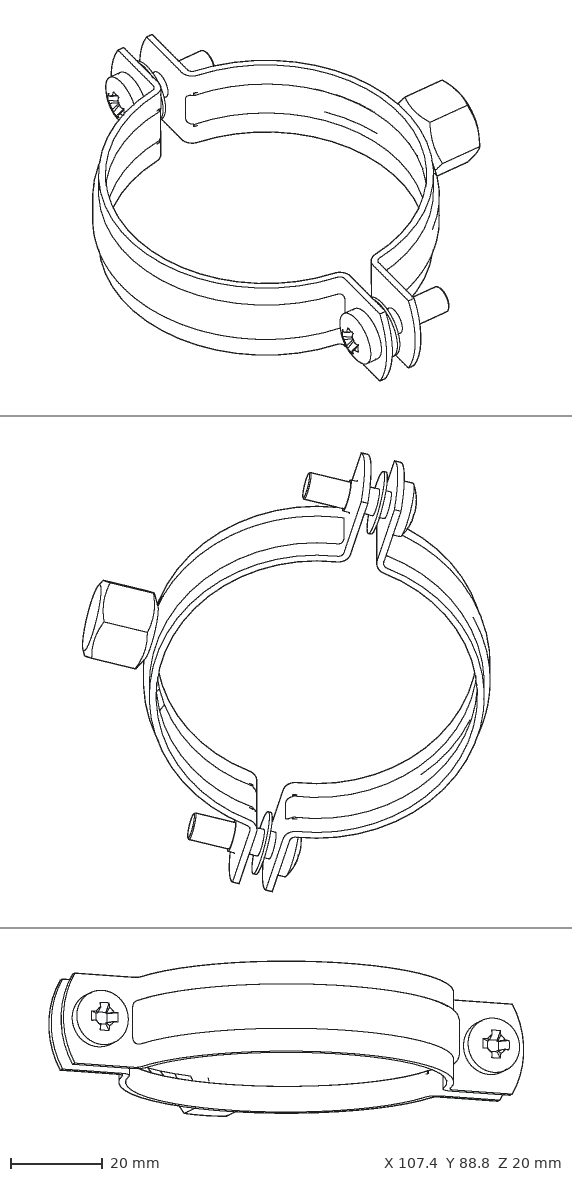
import cadquery as cq
import math


pipe_radius = 35.0
band_thickness = 1.5
band_width = 20.0
ear_gap = 6.0
overall_length = 107.4
overall_depth = 88.8
bend_inside_radius = 1.3
band_radius = pipe_radius + band_thickness
bend_outside_radius = bend_inside_radius + band_thickness
ear_inner_y = ear_gap / 2
ear_outer_y = ear_inner_y + band_thickness
ear_end_radius = band_width

bead_height = 1.3
bead_crown_half_width = 3.4
bead_edge_radius = 1.5
groove_floor_half_width = 3.0
groove_edge_radius = 1.3
bead_radius = band_radius + bead_height
groove_radius = pipe_radius + groove_edge_radius

screw_x = 45.6
screw_diameter = 6.0
screw_length = 20.0
tip_chamfer = 0.27
head_diameter = 12.0
head_side_height = 2.8
head_height = 4.6
washer_diameter = 14.0
washer_thickness = 0.6
washer_y = -0.6
collar_diameter = 7.0
collar_height = 1.7
collar_fillet = 0.5

recess_depth = 2.5
recess_arm_width = 2.0
recess_span = 7.0
recess_core_diameter = 4.7
recess_floor_diameter = 2.6

nut_across_flats = 17.0
nut_seat_diameter = 12.4
nut_face_diameter = 14.8
nut_chamfer_angle = math.radians(30)
nut_embed = 0.1
nut_top_y = overall_depth - bead_radius
nut_seat_y = bead_radius - nut_embed


def polar(radius, angle, center=(0, 0)):
    return center[0] + radius * math.cos(angle), center[1] + radius * math.sin(angle)


def revolve_about_y(profile):
    """Revolve an (X, Y) half profile about the Y axis."""
    return profile.close().revolve(360, (0, 0), (0, 1))


def band_strip():
    """Rear half of the band with both ears, before the bead is pressed."""
    bend_y = ear_outer_y + bend_inside_radius
    bend_x = math.sqrt((band_radius + bend_inside_radius) ** 2 - bend_y**2)
    bend = (bend_x, bend_y)
    end_angle = math.atan2(bend_y, bend_x)
    band_middle_angle = (end_angle + math.pi / 2) / 2
    bend_end_angle = end_angle - math.pi
    bend_middle_angle = (bend_end_angle - math.pi / 2) / 2
    right_side = (
        cq.Workplane("XY")
        .moveTo(0, pipe_radius)
        .threePointArc(polar(pipe_radius, band_middle_angle), polar(pipe_radius, end_angle))
        .threePointArc(polar(bend_outside_radius, bend_middle_angle, bend), (bend_x, ear_inner_y))
        .lineTo(overall_length / 2, ear_inner_y)
        .lineTo(overall_length / 2, ear_outer_y)
        .lineTo(bend_x, ear_outer_y)
        .threePointArc(polar(bend_inside_radius, bend_middle_angle, bend), polar(band_radius, end_angle))
        .threePointArc(polar(band_radius, band_middle_angle), (0, band_radius))
        .close()
        .extrude(band_width / 2, both=True)
    )
    return right_side.union(right_side.mirror("YZ")).intersect(ear_outline())


def ear_outline():
    """Block with rounded ends that trims the ears."""
    tip_x = overall_length / 2
    corner_z = band_width / 2
    corner_x = tip_x - ear_end_radius + math.sqrt(ear_end_radius**2 - corner_z**2)
    return (
        cq.Workplane("XZ")
        .moveTo(-corner_x, -corner_z)
        .lineTo(corner_x, -corner_z)
        .threePointArc((tip_x, 0), (corner_x, corner_z))
        .lineTo(-corner_x, corner_z)
        .threePointArc((-tip_x, 0), (-corner_x, -corner_z))
        .close()
        .extrude(overall_length, both=True)
    )


def rounded_disc(radius, half_width, edge_radius):
    """Disc on the pipe axis whose crown edges are rounded outside half_width."""
    core_radius = radius - edge_radius
    edge_z = half_width + edge_radius
    diagonal = edge_radius * math.sqrt(0.5)
    return (
        cq.Workplane("XZ")
        .moveTo(0, -edge_z)
        .lineTo(core_radius, -edge_z)
        .threePointArc((core_radius + diagonal, -half_width - diagonal), (radius, -half_width))
        .lineTo(radius, half_width)
        .threePointArc((core_radius + diagonal, half_width + diagonal), (core_radius, edge_z))
        .lineTo(0, edge_z)
        .close()
        .revolve(360, (0, 0), (0, 1))
    )


def rear_band():
    strip = band_strip()
    rear_side = (
        cq.Workplane("XY")
        .box(overall_length, overall_length, band_width, centered=(True, False, True))
        .translate((0, ear_outer_y, 0))
    )
    pipe = cq.Workplane("XY").circle(pipe_radius).extrude(band_width / 2, both=True)
    bead = rounded_disc(bead_radius, bead_crown_half_width, bead_edge_radius)
    bead = bead.intersect(rear_side).cut(pipe)
    groove = rounded_disc(groove_radius, groove_floor_half_width, groove_edge_radius)
    return strip.union(bead).cut(groove)


def cross_recess(head_top_y):
    """Tapered cross cutter opening at the top of a screw head."""
    floor_y = head_top_y + recess_depth
    floor_radius = recess_floor_diameter / 2
    core = revolve_about_y(
        cq.Workplane("XY")
        .moveTo(0, head_top_y)
        .lineTo(recess_core_diameter / 2, head_top_y)
        .lineTo(floor_radius, floor_y)
        .lineTo(0, floor_y)
    )
    arm = (
        cq.Workplane("XY")
        .moveTo(-recess_span / 2, head_top_y)
        .lineTo(recess_span / 2, head_top_y)
        .lineTo(floor_radius, floor_y)
        .lineTo(-floor_radius, floor_y)
        .close()
        .extrude(recess_arm_width / 2, both=True)
    )
    return core.union(arm).union(arm.rotate((0, 0, 0), (0, 1, 0), 90))


def screw():
    """Domed screw with its washer, on the Y axis, head seated on the front ear."""
    seat_y = -ear_outer_y
    head_top_y = seat_y - head_height
    side_end_y = seat_y - head_side_height
    tip_y = seat_y + screw_length
    head_radius = head_diameter / 2
    shank_radius = screw_diameter / 2
    washer_radius = washer_diameter / 2
    dome_rise = head_height - head_side_height
    dome_radius = (head_radius**2 + dome_rise**2) / (2 * dome_rise)
    half_dome_angle = math.asin(head_radius / dome_radius) / 2
    dome_middle = polar(dome_radius, half_dome_angle - math.pi / 2, (0, head_top_y + dome_radius))
    body = revolve_about_y(
        cq.Workplane("XY")
        .moveTo(0, head_top_y)
        .threePointArc(dome_middle, (head_radius, side_end_y))
        .lineTo(head_radius, seat_y)
        .lineTo(shank_radius, seat_y)
        .lineTo(shank_radius, washer_y - washer_thickness / 2)
        .lineTo(washer_radius, washer_y - washer_thickness / 2)
        .lineTo(washer_radius, washer_y + washer_thickness / 2)
        .lineTo(shank_radius, washer_y + washer_thickness / 2)
        .lineTo(shank_radius, tip_y - tip_chamfer)
        .lineTo(shank_radius - tip_chamfer, tip_y)
        .lineTo(0, tip_y)
    )
    return body.cut(cross_recess(head_top_y))


def collar():
    """Collar on the Y axis, flared where it rises from the rear ear."""
    radius = collar_diameter / 2
    flare_center = (radius + collar_fillet, ear_outer_y + collar_fillet)
    return revolve_about_y(
        cq.Workplane("XY")
        .moveTo(0, ear_outer_y)
        .lineTo(radius + collar_fillet, ear_outer_y)
        .threePointArc(polar(collar_fillet, -0.75 * math.pi, flare_center), (radius, flare_center[1]))
        .lineTo(radius, ear_outer_y + collar_height)
        .lineTo(0, ear_outer_y + collar_height)
    )


def connection_nut():
    """Hexagonal nut along Y with two flats facing +Z and -Z and coned ends."""
    corner_radius = nut_across_flats / math.sqrt(3)
    slope = math.tan(nut_chamfer_angle)
    seat_radius = nut_seat_diameter / 2
    face_radius = nut_face_diameter / 2
    cones = revolve_about_y(
        cq.Workplane("XY")
        .moveTo(0, nut_seat_y)
        .lineTo(seat_radius, nut_seat_y)
        .lineTo(corner_radius, nut_seat_y + (corner_radius - seat_radius) * slope)
        .lineTo(corner_radius, nut_top_y - (corner_radius - face_radius) * slope)
        .lineTo(face_radius, nut_top_y)
        .lineTo(0, nut_top_y)
    )
    hexagon = cq.Workplane("XZ").polygon(6, 2 * corner_radius).extrude(-nut_top_y)
    return cones.intersect(hexagon)


rear_half = rear_band()
result = rear_half.union(rear_half.mirror("XZ")).union(connection_nut())
for side in (-1, 1):
    ear_center = (side * screw_x, 0, 0)
    result = result.union(collar().translate(ear_center)).union(screw().translate(ear_center))